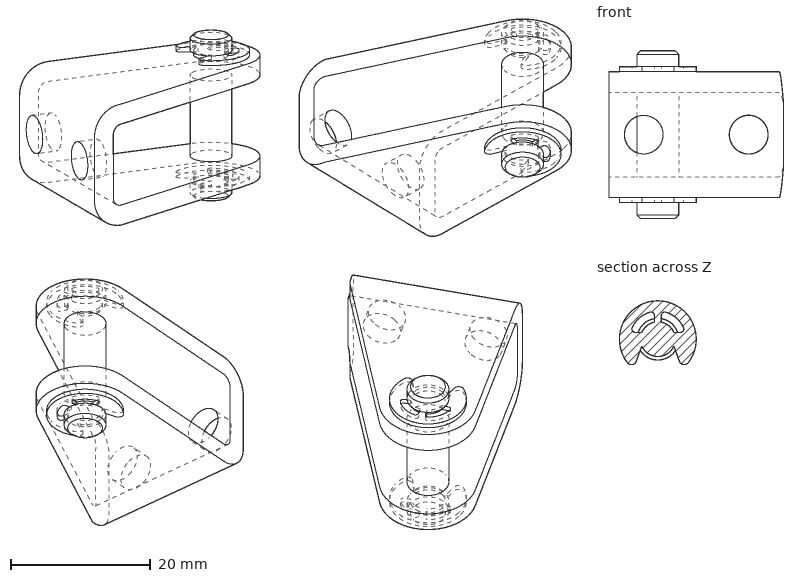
import cadquery as cq
import math

length = 34.0
width = 25.0
height = 18.02
sheet = 3.0
bend_outer = 4.5
bend_inner = bend_outer - sheet
flange_width = 24.35
end_radius = 7.0

hole_diameter = 5.5
hole_positions = (5.0, 20.0)

pin_diameter = 6.0
pin_length = 24.0
pin_chamfer = 0.5
groove_diameter = 5.0
pin_x = end_radius
pin_y = length - end_radius

clip_radius = 5.5
clip_thickness = 0.7
clip_apex = 5.27
mouth_half_angle = 20.0
tip_fillet = 0.75
window_radius = 4.0
window_bottom = 1.0
tab_half_width = 0.5
window_fillet = 0.48

half_height = height / 2
bend_z = half_height - bend_outer


def upper_flange():
    """Tapered flange whose slanted side is tangent to its round end."""
    dx = flange_width - pin_x
    dy = bend_outer - pin_y
    tangent_angle = math.atan2(dy, dx) + math.acos(end_radius / math.hypot(dx, dy))
    tangent_point = (
        pin_x + end_radius * math.cos(tangent_angle),
        pin_y + end_radius * math.sin(tangent_angle),
    )
    return (
        cq.Workplane("XY", origin=(0, 0, half_height - sheet))
        .moveTo(0, bend_outer)
        .lineTo(flange_width, bend_outer)
        .lineTo(*tangent_point)
        .threePointArc((pin_x, length), (0, pin_y))
        .close()
        .extrude(sheet)
    )


def quarter_ring(x, inner, outer):
    """Quarter-ring section from flange to web, drawn about the bend axis at the given X."""
    diagonal = math.sqrt(0.5)
    return (
        cq.Workplane("YZ", origin=(x, bend_outer, bend_z))
        .moveTo(0, inner)
        .lineTo(0, outer)
        .threePointArc((-outer * diagonal, outer * diagonal), (-outer, 0))
        .lineTo(-inner, 0)
        .threePointArc((-inner * diagonal, inner * diagonal), (0, inner))
        .close()
    )


def upper_bend():
    """Bend whose free end widens steadily from the flange to the web."""
    widening = width - flange_width
    inner_clearance = bend_inner / 2
    outer_clearance = bend_outer * 2
    helix = quarter_ring(flange_width, inner_clearance, outer_clearance).twistExtrude(widening, 90)
    helical_end = quarter_ring(flange_width, bend_inner, bend_outer).extrude(widening).intersect(helix)
    return quarter_ring(0, bend_inner, bend_outer).extrude(flange_width).union(helical_end)


def web():
    plate = cq.Workplane("XY").box(width, sheet, 2 * bend_z, centered=(False, False, True))
    holes = (
        cq.Workplane("XZ")
        .pushPoints([(x, 0) for x in hole_positions])
        .circle(hole_diameter / 2)
        .extrude(-sheet)
    )
    return plate.cut(holes)


def pin():
    """Chamfered pin with a retaining groove just outside each flange."""
    body = (
        cq.Workplane("XY", origin=(pin_x, pin_y, -pin_length / 2))
        .circle(pin_diameter / 2)
        .extrude(pin_length)
        .faces("<Z or >Z")
        .chamfer(pin_chamfer)
    )
    upper_groove = (
        cq.Workplane("XY", origin=(pin_x, pin_y, half_height))
        .circle(pin_diameter / 2)
        .circle(groove_diameter / 2)
        .extrude(clip_thickness)
    )
    return body.cut(upper_groove).cut(upper_groove.mirror("XY"))


def clip_window():
    """Right-hand window beside the clip's centre tab, with rounded outer corners."""
    block = (
        cq.Workplane("XY")
        .moveTo(tab_half_width, window_bottom)
        .rect(window_radius, window_radius, centered=False)
        .extrude(clip_thickness)
    )
    disc = cq.Workplane("XY").circle(window_radius).extrude(clip_thickness)
    window = block.intersect(disc)
    return window.edges("|Z").edges(">X or >Y").fillet(window_fillet)


def upper_clip():
    mouth_depth = clip_apex + clip_radius
    mouth_half_width = mouth_depth * math.tan(math.radians(mouth_half_angle))
    mouth = (
        cq.Workplane("XY")
        .polyline([(0, clip_apex), (-mouth_half_width, -clip_radius), (mouth_half_width, -clip_radius)])
        .close()
        .extrude(clip_thickness)
    )
    bore = cq.Workplane("XY").circle(groove_diameter / 2).extrude(clip_thickness)
    lower_half = (
        cq.Workplane("XY")
        .box(2 * clip_radius, clip_radius, clip_thickness, centered=(True, False, False))
        .translate((0, -clip_radius, 0))
    )
    ring = cq.Workplane("XY").circle(clip_radius).extrude(clip_thickness)
    ring = ring.cut(mouth.intersect(lower_half)).cut(bore)
    ring = ring.edges("|Z").edges("<Y").fillet(tip_fillet)
    window = clip_window()
    clip = ring.cut(window).cut(window.mirror("YZ"))
    return clip.translate((pin_x, pin_y, half_height))


upper_half = upper_flange().union(upper_bend()).union(upper_clip())
result = web().union(upper_half).union(upper_half.mirror("XY")).union(pin())